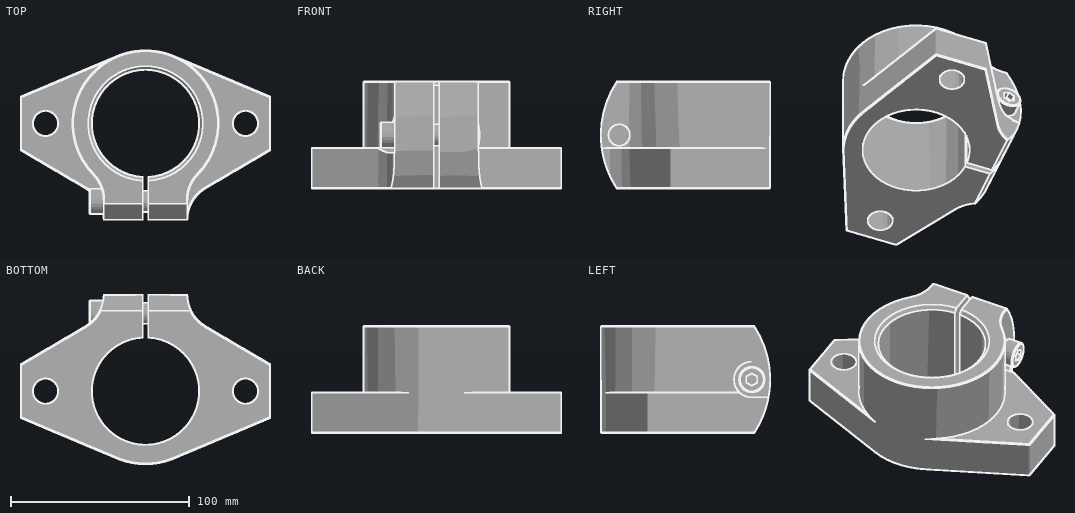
import cadquery as cq
import math

height = 60.0
bore_radius = 30.0
ring_radius = 41.0
bore_chamfer = 2.1

ear_half_width = 23.5
slot_width = 3.0
blend_radius = 20.5
front_radius = 54.0
mid_height = height / 2

flange_height = 23.0
flange_half_length = 70.0
flange_end_half_width = 15.0
flange_front_angle = math.radians(30.4)
flange_corner_radius = 1.0
mount_hole_diameter = 14.0
mount_hole_offset = 56.0

edge_chamfer = 0.5

screw_y = -43.65
screw_diameter = 12.0
head_diameter = 14.4
head_length = 8.0
head_chamfer = 0.6
hex_across_flats = 6.0
hex_depth = 4.0
spotface_radius = 10.0

front_overrun = 2.0
outline_front_y = -front_radius - front_overrun
blend_center_x = ear_half_width + blend_radius


def clamp_outline():
    """Ring that runs through concave blends into the two parallel ear sides."""
    reach = ring_radius + blend_radius
    blend_center_y = -math.sqrt(reach**2 - blend_center_x**2)
    tangent_x = blend_center_x * ring_radius / reach
    tangent_y = blend_center_y * ring_radius / reach
    mid_angle = (math.pi + math.atan2(-blend_center_y, -blend_center_x)) / 2
    blend_mid_x = blend_center_x + blend_radius * math.cos(mid_angle)
    blend_mid_y = blend_center_y + blend_radius * math.sin(mid_angle)
    return (
        cq.Workplane("XY")
        .moveTo(-tangent_x, tangent_y)
        .threePointArc((0, ring_radius), (tangent_x, tangent_y))
        .threePointArc((blend_mid_x, blend_mid_y), (ear_half_width, blend_center_y))
        .lineTo(ear_half_width, outline_front_y)
        .lineTo(-ear_half_width, outline_front_y)
        .lineTo(-ear_half_width, blend_center_y)
        .threePointArc((-blend_mid_x, blend_mid_y), (-tangent_x, tangent_y))
        .close()
    )


def flange_outline():
    """Flange tangent to the ring at the back and blended into the ear sides at the front."""
    corner_angle = math.atan2(flange_end_half_width, flange_half_length)
    corner_distance = math.hypot(flange_half_length, flange_end_half_width)
    tangent_angle = corner_angle + math.acos(ring_radius / corner_distance)
    back_x = ring_radius * math.cos(tangent_angle)
    back_y = ring_radius * math.sin(tangent_angle)

    blend_x = blend_center_x - blend_radius * math.sin(flange_front_angle)
    blend_y = -flange_end_half_width - (flange_half_length - blend_x) * math.tan(flange_front_angle)
    blend_center_y = blend_y - blend_radius * math.cos(flange_front_angle)
    mid_angle = (math.pi + math.pi / 2 + flange_front_angle) / 2
    blend_mid_x = blend_center_x + blend_radius * math.cos(mid_angle)
    blend_mid_y = blend_center_y + blend_radius * math.sin(mid_angle)
    return (
        cq.Workplane("XY")
        .moveTo(-back_x, back_y)
        .threePointArc((0, ring_radius), (back_x, back_y))
        .lineTo(flange_half_length, flange_end_half_width)
        .lineTo(flange_half_length, -flange_end_half_width)
        .lineTo(blend_x, blend_y)
        .threePointArc((blend_mid_x, blend_mid_y), (ear_half_width, blend_center_y))
        .lineTo(ear_half_width, outline_front_y)
        .lineTo(-ear_half_width, outline_front_y)
        .lineTo(-ear_half_width, blend_center_y)
        .threePointArc((-blend_mid_x, blend_mid_y), (-blend_x, blend_y))
        .lineTo(-flange_half_length, -flange_end_half_width)
        .lineTo(-flange_half_length, flange_end_half_width)
        .close()
    )


def rod_along_x(radius, start_x, length, y=screw_y):
    """Cylinder along +X at mid height."""
    return cq.Workplane("YZ", origin=(start_x, y, mid_height)).circle(radius).extrude(length)


def make_block():
    """Clamp and flange as one blank with broken edges and a rounded front."""
    clamp = clamp_outline().extrude(height).faces("<Z or >Z").edges().chamfer(edge_chamfer)
    flange = flange_outline().extrude(flange_height)
    flange = flange.faces("<X or >X").edges("|Z").fillet(flange_corner_radius)
    flange = flange.faces("<Z or >Z").edges().chamfer(edge_chamfer)
    rounding = rod_along_x(front_radius, -flange_half_length, 2 * flange_half_length, y=0)
    return clamp.union(flange).intersect(rounding)


def make_bracket():
    bracket = make_block()

    bore_plane = cq.Workplane(cq.Plane(origin=(0, 0, 0), xDir=(0, -1, 0), normal=(0, 0, 1)))
    bore = bore_plane.circle(bore_radius).extrude(height)
    chamfer_cone = (
        bore_plane.workplane(offset=height - bore_chamfer)
        .circle(bore_radius)
        .workplane(offset=bore_chamfer)
        .circle(bore_radius + bore_chamfer)
        .loft()
    )
    bracket = bracket.cut(bore).cut(chamfer_cone)

    slot = (
        cq.Workplane("XY", origin=(0, -front_radius / 2, 0))
        .rect(slot_width, front_radius)
        .extrude(height)
    )
    bracket = bracket.cut(slot)

    holes = (
        cq.Workplane("XY")
        .pushPoints([(-mount_hole_offset, 0), (mount_hole_offset, 0)])
        .circle(mount_hole_diameter / 2)
        .extrude(flange_height)
    )
    bracket = bracket.cut(holes)

    outside = flange_half_length - ear_half_width
    spotface = rod_along_x(spotface_radius, -flange_half_length, outside)
    spotface_front = (
        cq.Workplane("YZ", origin=(-flange_half_length, screw_y, mid_height))
        .moveTo(0, -spotface_radius)
        .rect(-front_radius, 2 * spotface_radius, centered=False)
        .extrude(outside)
    )
    screw_hole = rod_along_x(screw_diameter / 2, -flange_half_length, 2 * flange_half_length)
    return bracket.cut(spotface).cut(spotface_front).cut(screw_hole)


def make_screw():
    """Socket head screw seated on the left ear and ending flush with the right one."""
    head_start_x = -ear_half_width - head_length
    head = rod_along_x(head_diameter / 2, head_start_x, head_length).faces("<X").chamfer(head_chamfer)
    shank = rod_along_x(screw_diameter / 2, -ear_half_width, 2 * ear_half_width)
    socket = (
        cq.Workplane("YZ", origin=(head_start_x, screw_y, mid_height))
        .transformed(rotate=(0, 0, 90))
        .polygon(6, hex_across_flats / math.cos(math.pi / 6))
        .extrude(hex_depth)
    )
    return head.union(shank).cut(socket)


bracket = make_bracket()
screw = make_screw()
result = cq.Compound.makeCompound([bracket.val(), screw.val()])